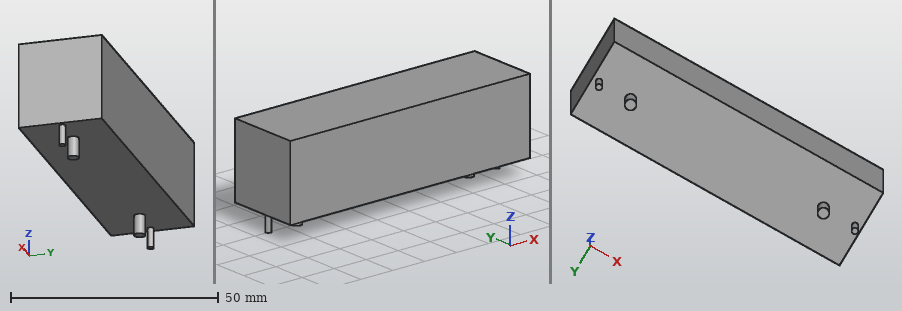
import cadquery as cq

housing_length = 75.0
housing_width = 21.0
total_height = 26.6
pin_length = 5.0
housing_height = total_height - pin_length

thin_pin_diameter = 1.6
thin_pin_spacing = 71.4
thick_pin_diameter = 2.8
thick_pin_spacing = 53.8


def make_housing():
    """Plain block standing on the plane Z = 0."""
    return cq.Workplane("XY").box(
        housing_length, housing_width, housing_height, centered=(True, True, False)
    )


def make_pin(diameter, x):
    """Round pin hanging from the underside of the housing."""
    return cq.Workplane("XY").center(x, 0).circle(diameter / 2).extrude(-pin_length)


def make_pin_pair(diameter, spacing):
    """Two equal pins, placed symmetrically about the middle of the housing."""
    return [make_pin(diameter, side * spacing / 2).val() for side in (-1, 1)]


housing = make_housing()
thin_pins = make_pin_pair(thin_pin_diameter, thin_pin_spacing)
thick_pins = make_pin_pair(thick_pin_diameter, thick_pin_spacing)

result = cq.Compound.makeCompound([housing.val(), *thin_pins, *thick_pins])